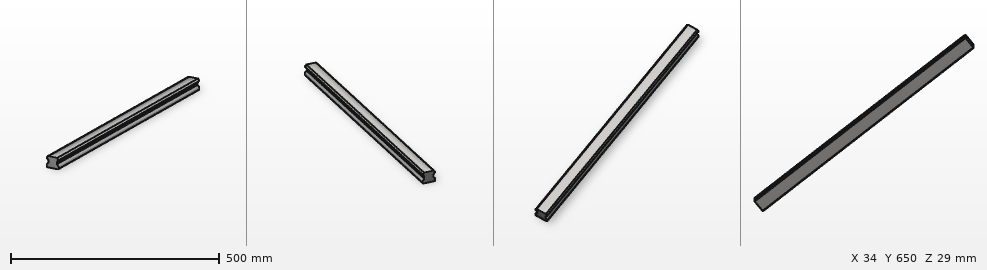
import cadquery as cq
import math

length = 650.0
width = 34.0
height = 29.0

top_width = 26.0
lip_edge_width = 32.5
lip_top_z = 25.5
lip_bottom_z = 23.5
groove_sag = 0.45
lower_groove_width = 26.0
lower_groove_z = 19.5

web_width = 24.0
web_top_z = 17.5

foot_side_top_z = 6.5
foot_fillet = 2.3
flank_angle = 42
bottom_chamfer = 2.0

side_x = width / 2
web_x = web_width / 2
fillet_setback = foot_fillet * math.tan(math.radians(flank_angle / 2))
foot_corner_z = foot_side_top_z + fillet_setback
web_bottom_z = foot_corner_z + (side_x - web_x) / math.tan(math.radians(flank_angle))


def groove_middle(start, end):
    """Deepest point of a groove in the right side, between its two edges."""
    chord_x = end[0] - start[0]
    chord_z = end[1] - start[1]
    chord = (chord_x ** 2 + chord_z ** 2) ** 0.5
    return (
        (start[0] + end[0]) / 2 + groove_sag * chord_z / chord,
        (start[1] + end[1]) / 2 - groove_sag * chord_x / chord,
    )


def half_rail():
    """Right half of the rail, cut off at the middle plane X = 0."""
    top_corner = (top_width / 2, height)
    lip_top = (lip_edge_width / 2, lip_top_z)
    lip_middle = (side_x, (lip_top_z + lip_bottom_z) / 2)
    lip_bottom = (lip_edge_width / 2, lip_bottom_z)
    lower_groove_end = (lower_groove_width / 2, lower_groove_z)
    section = (
        cq.Workplane("XZ")
        .moveTo(0, height)
        .lineTo(*top_corner)
        .threePointArc(groove_middle(top_corner, lip_top), lip_top)
        .threePointArc(lip_middle, lip_bottom)
        .threePointArc(groove_middle(lip_bottom, lower_groove_end), lower_groove_end)
        .lineTo(web_x, web_top_z)
        .lineTo(web_x, web_bottom_z)
        .lineTo(side_x, foot_corner_z)
        .lineTo(side_x, bottom_chamfer)
        .lineTo(side_x - bottom_chamfer, 0)
        .lineTo(0, 0)
        .close()
    )
    half = section.extrude(length / 2, both=True)
    foot_corner = cq.selectors.NearestToPointSelector((side_x, 0, foot_corner_z))
    return half.edges(foot_corner).fillet(foot_fillet)


right_half = half_rail()
result = right_half.union(right_half.mirror("YZ")).clean()